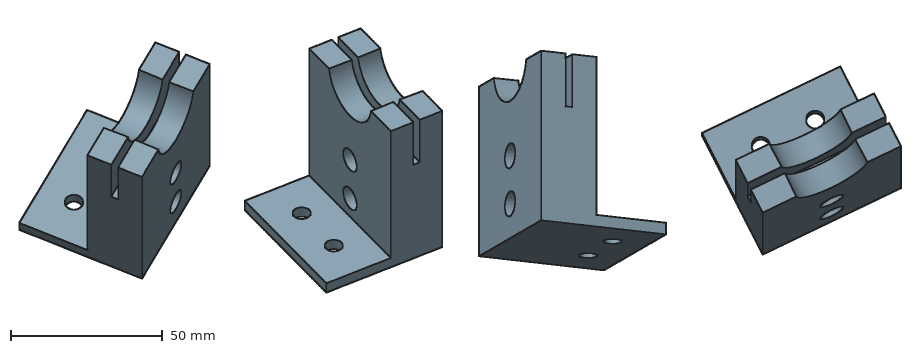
import cadquery as cq

length_x = 45.0
width_y = 50.8
height = 57.75
wall_thickness = 20.0
flange_thickness = 4.0

slot_width = 2.4
slot_depth = 18.0

cradle_mouth_radius = 13.3
cradle_throat_radius = 13.1
cradle_mouth_depth = 11.05

flange_hole_diameter = 6.0
flange_hole_spacing = 20.0
wall_hole_diameter = 8.4
lower_wall_hole_z = 11.7
wall_hole_spacing = 16.35

flange_length = length_x - wall_thickness
wall_center_x = flange_length + wall_thickness / 2


def cylinder_along_x(radius, z):
    """Cutter through the full length at mid-width and height z."""
    return cq.Workplane("YZ").center(0, z).circle(radius).extrude(length_x)


flange = cq.Workplane("XY").box(length_x, width_y, flange_thickness, centered=(False, True, False))
wall = (
    cq.Workplane("XY")
    .box(wall_thickness, width_y, height, centered=(False, True, False))
    .translate((flange_length, 0, 0))
)
body = flange.union(wall)

cradle_center_z = height - cradle_mouth_depth + cradle_mouth_radius
cradle = (
    cq.Workplane("XZ")
    .moveTo(flange_length, cradle_center_z)
    .lineTo(flange_length, cradle_center_z - cradle_mouth_radius)
    .threePointArc(
        (wall_center_x, cradle_center_z - cradle_throat_radius),
        (length_x, cradle_center_z - cradle_mouth_radius),
    )
    .lineTo(length_x, cradle_center_z)
    .close()
    .revolve(360, (flange_length, cradle_center_z), (length_x, cradle_center_z))
)
body = body.cut(cradle)

slot = (
    cq.Workplane("XY")
    .box(slot_width, width_y, slot_depth, centered=(True, True, False))
    .translate((wall_center_x, 0, height - slot_depth))
)
body = body.cut(slot)

for hole_z in (lower_wall_hole_z, lower_wall_hole_z + wall_hole_spacing):
    body = body.cut(cylinder_along_x(wall_hole_diameter / 2, hole_z))

flange_holes = (
    cq.Workplane("XY")
    .center(flange_length / 2, 0)
    .rarray(0.6, flange_hole_spacing, 1, 2)
    .circle(flange_hole_diameter / 2)
    .extrude(flange_thickness)
)
result = body.cut(flange_holes)